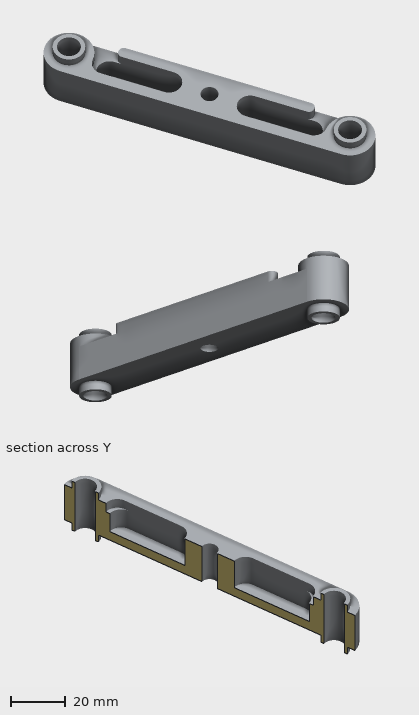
import cadquery as cq
import math

overall_length = 128.6
bar_width = 18.6
overall_height = 24.2
boss_height = 3.4
boss_diameter = 11.95
pivot_diameter = 8.75
centre_hole_diameter = 6.59

end_radius = bar_width / 2
pivot_x = overall_length / 2 - end_radius
bar_height = overall_height - 2 * boss_height
bar_top = bar_height / 2

pocket_inner_x = 11.0
pocket_outer_x = 44.0
pocket_width = 9.9
pocket_depth = 13.0

relief_depth = 4.2
rib_half_length = 38.3
rib_corner_radius = 2.0

pocket_length = pocket_outer_x - pocket_inner_x
pocket_centre_x = (pocket_outer_x + pocket_inner_x) / 2
pocket_half_width = pocket_width / 2
rib_width = end_radius - pocket_half_width


def make_bar():
    """Round-ended bar with a boss on the top and bottom of each end."""
    bar = cq.Workplane("XY").slot2D(overall_length, bar_width).extrude(bar_height / 2, both=True)
    bosses = (
        cq.Workplane("XY")
        .pushPoints([(-pivot_x, 0), (pivot_x, 0)])
        .circle(boss_diameter / 2)
        .extrude(overall_height / 2, both=True)
    )
    return bar.union(bosses)


def make_pocket():
    """Cutter for the pocket on the +X side."""
    return (
        cq.Workplane("XY", origin=(pocket_centre_x, 0, bar_top - pocket_depth))
        .slot2D(pocket_length, pocket_width)
        .extrude(pocket_depth)
    )


def make_relief():
    """Cutter for the relief on the +X side, from the pivot end to the end of the rib.

    Its outer wall is an S: an arc around the pivot, then a tangent arc onto the pocket's side wall.
    """
    floor_z = bar_top - relief_depth
    inner_x = rib_half_length - rib_corner_radius
    wall_x = pivot_x - end_radius
    arc_mid = end_radius * math.sqrt(0.5)
    corner_x = wall_x - pocket_half_width
    corner_mid = pocket_half_width * math.sqrt(0.5)
    relief = (
        cq.Workplane("XY", origin=(0, 0, floor_z))
        .moveTo(inner_x, end_radius)
        .lineTo(pivot_x, end_radius)
        .threePointArc((pivot_x - arc_mid, arc_mid), (wall_x, 0))
        .threePointArc((corner_x + corner_mid, -corner_mid), (corner_x, -pocket_half_width))
        .lineTo(inner_x, -pocket_half_width)
        .close()
        .extrude(relief_depth)
    )
    rib = (
        cq.Workplane("XY", origin=(0, pocket_half_width + rib_width / 2, floor_z))
        .rect(2 * rib_half_length, rib_width)
        .extrude(relief_depth)
        .edges("|Z")
        .fillet(rib_corner_radius)
    )
    return relief.cut(rib)


def cut_through_holes(body):
    """Drill the two pivot bores and the centre hole through the full height."""
    bores = (
        cq.Workplane("XY")
        .pushPoints([(-pivot_x, 0), (pivot_x, 0)])
        .circle(pivot_diameter / 2)
        .extrude(overall_height, both=True)
    )
    centre_hole = cq.Workplane("XY").circle(centre_hole_diameter / 2).extrude(overall_height, both=True)
    return body.cut(bores).cut(centre_hole)


result = make_bar()
for cutter in (make_pocket(), make_relief()):
    result = result.cut(cutter).cut(cutter.mirror("YZ"))
result = cut_through_holes(result)